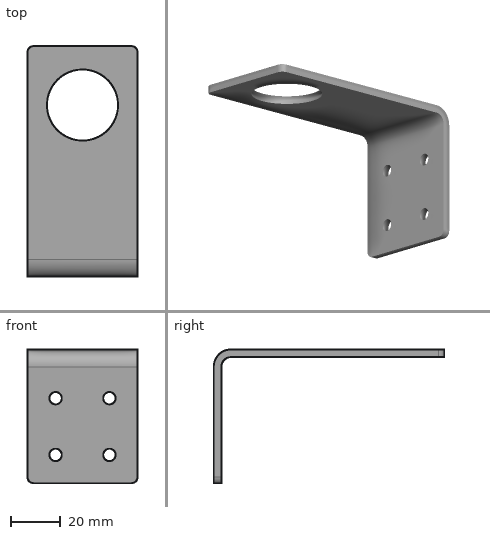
import cadquery as cq

width = 44.45
depth = 92.98
height = 53.98
thickness = 3.175

inner_bend_radius = 3.81
outer_bend_radius = inner_bend_radius + thickness

corner_radius = 2.54

large_hole_diameter = 28.575
large_hole_from_end = 23.81

mount_hole_diameter = 4.9
mount_spacing_x = 21.7
mount_spacing_z = 22.86
mount_lower_from_end = 11.43

large_hole_y = depth - large_hole_from_end
mount_center_z = -height + mount_lower_from_end + mount_spacing_z / 2


def bent_plate():
    """L-shaped plate of constant thickness with a concentric rounded bend."""
    plate = (
        cq.Workplane("YZ")
        .moveTo(0, -height)
        .lineTo(0, 0)
        .lineTo(depth, 0)
        .lineTo(depth, -thickness)
        .lineTo(thickness, -thickness)
        .lineTo(thickness, -height)
        .close()
        .extrude(width / 2, both=True)
    )
    outer_edge = cq.selectors.NearestToPointSelector((0, 0, 0))
    inner_edge = cq.selectors.NearestToPointSelector((0, thickness, -thickness))
    plate = plate.edges("|X").edges(outer_edge).fillet(outer_bend_radius)
    return plate.edges("|X").edges(inner_edge).fillet(inner_bend_radius)


def round_free_corners(plate):
    """Round the two corners at the free end of each leg."""
    plate = plate.faces(">Y").edges("|Z").fillet(corner_radius)
    return plate.faces("<Z").edges("|Y").fillet(corner_radius)


def large_hole_cutter():
    """Cylinder through the horizontal leg."""
    return (
        cq.Workplane("XY")
        .center(0, large_hole_y)
        .circle(large_hole_diameter / 2)
        .extrude(-thickness)
    )


def mount_hole_cutters():
    """Two-by-two pattern of cylinders through the vertical leg."""
    return (
        cq.Workplane("XZ")
        .center(0, mount_center_z)
        .rarray(mount_spacing_x, mount_spacing_z, 2, 2)
        .circle(mount_hole_diameter / 2)
        .extrude(-thickness)
    )


bracket = round_free_corners(bent_plate())
result = bracket.cut(large_hole_cutter()).cut(mount_hole_cutters())